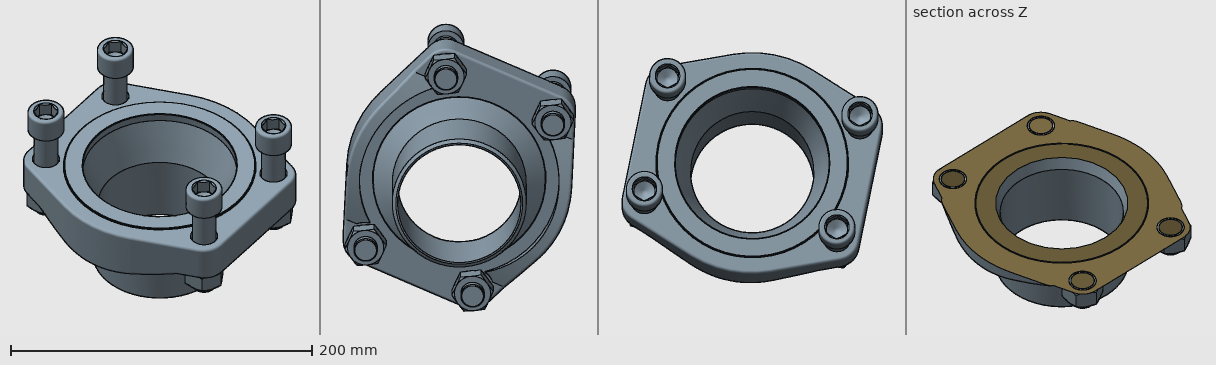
import cadquery as cq
import math


OVERALL_HEIGHT = 121.6
PIPE_HEIGHT = 46.2
PLATE_BOTTOM = 54.2
SHOULDER_HEIGHT = 67.2
PLATE_TOP = 79.4
ADAPTER_TOP = 80.2
LOBE_BOTTOM = 44.6

COLLAR_DIAMETER = 127.0
STEM_DIAMETER = 114.2
PIPE_DIAMETER = 89.0
BORE_DIAMETER = 81.8
MOUTH_DIAMETER = 102.0
MOUTH_DEPTH = 5.8
RIM_CHAMFER = 0.5
PIPE_CHAMFER_WIDTH = 2.4
PIPE_CHAMFER_HEIGHT = 1.6

FLANGE_LENGTH = 160.0
FLANGE_WIDTH = 149.6
BOLT_X = 65.1
BOLT_Y = 38.9
BOLT_HOLE_DIAMETER = 18.0
FLANGE_EDGE_FILLET = 2.0
LOBE_HALF_CHORD = 56.0
LOBE_RELIEF_DIAMETER = 132.5
ADAPTER_CLEARANCE = 0.8
COLLAR_SEAT_DIAMETER = COLLAR_DIAMETER + ADAPTER_CLEARANCE
STEM_HOLE_DIAMETER = STEM_DIAMETER + ADAPTER_CLEARANCE

SCREW_DIAMETER = 15.7
SCREW_LENGTH = 70.0
SCREW_TIP_DIAMETER = 14.4
SCREW_TIP_HEIGHT = 1.0
HEAD_DIAMETER = 24.0
HEAD_HEIGHT = 16.0
HEAD_FILLET = 1.6
NECK_DIAMETER = 17.0
NECK_HEIGHT = 1.5
SOCKET_WIDTH = 14.0
SOCKET_DEPTH = 9.5
SOCKET_TURN = 39.0
SOCKET_POINT_ANGLE = 120.0

NUT_WIDTH = 24.0
NUT_HEIGHT = 12.6
NUT_CHAMFER_ANGLE = 30.0
NUT_SPOTFACE_DIAMETER = 27.8

ACROSS_CORNERS = 1 / math.cos(math.pi / 6)

BOLT_POSITIONS = [(sx * BOLT_X, sy * BOLT_Y) for sx in (-1, 1) for sy in (-1, 1)]


def cylinder(diameter, bottom, top):
    return cq.Workplane("XY").workplane(offset=bottom).circle(diameter / 2).extrude(top - bottom)


def hexagon(width, bottom, height):
    """Hexagonal prism of the given width across flats, with two corners on the X axis."""
    return cq.Workplane("XY").workplane(offset=bottom).polygon(6, width * ACROSS_CORNERS).extrude(height)


def revolved(half_profile):
    """Close and turn a (radius, height) outline, drawn on XZ, around the Z axis."""
    return half_profile.close().revolve(360, (0, 0, 0), (0, 1, 0))


def flange_outline(bottom):
    """Two end arcs and four corner arcs about the bolt centres, joined by tangent lines."""
    end_radius = FLANGE_WIDTH / 2
    corner_radius = FLANGE_LENGTH / 2 - BOLT_X
    bolt_distance = math.hypot(BOLT_X, BOLT_Y)
    tilt = math.atan2(BOLT_X, BOLT_Y) - math.acos((end_radius - corner_radius) / bolt_distance)
    side = math.pi / 2
    middle = (tilt + side) / 2

    def corner_point(angle, sx, sy):
        x = BOLT_X + corner_radius * math.sin(angle)
        y = BOLT_Y + corner_radius * math.cos(angle)
        return (sx * x, sy * y)

    end_x = end_radius * math.sin(tilt)
    end_y = end_radius * math.cos(tilt)
    return (
        cq.Workplane("XY")
        .workplane(offset=bottom)
        .moveTo(-end_x, end_y)
        .threePointArc((0, end_radius), (end_x, end_y))
        .lineTo(*corner_point(tilt, 1, 1))
        .threePointArc(corner_point(middle, 1, 1), corner_point(side, 1, 1))
        .lineTo(*corner_point(side, 1, -1))
        .threePointArc(corner_point(middle, 1, -1), corner_point(tilt, 1, -1))
        .lineTo(end_x, -end_y)
        .threePointArc((0, -end_radius), (-end_x, -end_y))
        .lineTo(*corner_point(tilt, -1, -1))
        .threePointArc(corner_point(middle, -1, -1), corner_point(side, -1, -1))
        .lineTo(*corner_point(side, -1, 1))
        .threePointArc(corner_point(middle, -1, 1), corner_point(tilt, -1, 1))
        .close()
    )


def make_plate():
    """Flat plate of the flange outline, rounded along its top and bottom edges."""
    plate = flange_outline(PLATE_BOTTOM).extrude(PLATE_TOP - PLATE_BOTTOM)
    return plate.faces("<Z or >Z").edges().fillet(FLANGE_EDGE_FILLET)


def make_lobes():
    """Block of the flange outline with an underside curved about Y, lowest along x = 0."""
    sag = PLATE_BOTTOM - LOBE_BOTTOM
    arch_radius = (LOBE_HALF_CHORD**2 + sag**2) / (2 * sag)
    arch_cylinder = (
        cq.Workplane("XZ")
        .center(0, LOBE_BOTTOM + arch_radius)
        .circle(arch_radius)
        .extrude(FLANGE_WIDTH, both=True)
    )
    block = flange_outline(LOBE_BOTTOM).extrude(PLATE_TOP - LOBE_BOTTOM)
    lobes = block.intersect(arch_cylinder)
    lobes = lobes.faces(">Z").edges().fillet(FLANGE_EDGE_FILLET)
    return lobes.faces("<Z").edges().fillet(FLANGE_EDGE_FILLET)


def make_flange():
    """Plate with a lobe hanging below each Y end, a stepped adapter seat and four bolt holes."""
    flange = make_plate().union(make_lobes())
    flange = flange.cut(cylinder(LOBE_RELIEF_DIAMETER, LOBE_BOTTOM, PLATE_BOTTOM))
    flange = flange.cut(cylinder(STEM_HOLE_DIAMETER, LOBE_BOTTOM, PLATE_TOP))
    flange = flange.cut(cylinder(COLLAR_SEAT_DIAMETER, SHOULDER_HEIGHT, PLATE_TOP))
    for x, y in BOLT_POSITIONS:
        bolt_hole = cylinder(BOLT_HOLE_DIAMETER, LOBE_BOTTOM, PLATE_TOP)
        nut_spotface = cylinder(NUT_SPOTFACE_DIAMETER, LOBE_BOTTOM, PLATE_BOTTOM)
        flange = flange.cut(bolt_hole.union(nut_spotface).translate((x, y, 0)))
    return flange


def make_adapter():
    """Hollow turned body: collar and stem inside the flange, tapering to a pipe below it."""
    pipe_radius = PIPE_DIAMETER / 2
    bore_radius = BORE_DIAMETER / 2
    collar_radius = COLLAR_DIAMETER / 2
    mouth_radius = MOUTH_DIAMETER / 2
    return revolved(
        cq.Workplane("XZ")
        .moveTo(bore_radius, 0)
        .lineTo(pipe_radius - PIPE_CHAMFER_WIDTH, 0)
        .lineTo(pipe_radius, PIPE_CHAMFER_HEIGHT)
        .lineTo(pipe_radius, PIPE_HEIGHT)
        .lineTo(STEM_DIAMETER / 2, PLATE_BOTTOM)
        .lineTo(STEM_DIAMETER / 2, SHOULDER_HEIGHT)
        .lineTo(collar_radius, SHOULDER_HEIGHT)
        .lineTo(collar_radius, ADAPTER_TOP - RIM_CHAMFER)
        .lineTo(collar_radius - RIM_CHAMFER, ADAPTER_TOP)
        .lineTo(mouth_radius + RIM_CHAMFER, ADAPTER_TOP)
        .lineTo(mouth_radius, ADAPTER_TOP - RIM_CHAMFER)
        .lineTo(mouth_radius, ADAPTER_TOP - MOUTH_DEPTH)
        .lineTo(bore_radius, PIPE_HEIGHT)
    )


def make_socket(floor):
    """Hexagonal recess with a countersunk rim and a drilled conical floor."""
    recess = hexagon(SOCKET_WIDTH, floor, SOCKET_DEPTH).rotate((0, 0, 0), (0, 0, 1), SOCKET_TURN)
    rim_radius = SOCKET_WIDTH * ACROSS_CORNERS / 2
    rim_cone = revolved(
        cq.Workplane("XZ")
        .moveTo(0, OVERALL_HEIGHT)
        .lineTo(rim_radius, OVERALL_HEIGHT)
        .lineTo(0, OVERALL_HEIGHT - rim_radius)
    )
    drill_radius = SOCKET_WIDTH / 2
    drill_depth = drill_radius / math.tan(math.radians(SOCKET_POINT_ANGLE / 2))
    drill_point = revolved(
        cq.Workplane("XZ").moveTo(0, floor).lineTo(drill_radius, floor).lineTo(0, floor - drill_depth)
    )
    return recess.union(rim_cone).union(drill_point)


def make_screw():
    """Socket-head screw with a flared neck under the head and a chamfered tip."""
    head_bottom = OVERALL_HEIGHT - HEAD_HEIGHT
    tip = head_bottom - SCREW_LENGTH
    socket_floor = OVERALL_HEIGHT - SOCKET_DEPTH
    radius = SCREW_DIAMETER / 2
    screw = revolved(
        cq.Workplane("XZ")
        .moveTo(0, tip)
        .lineTo(SCREW_TIP_DIAMETER / 2, tip)
        .lineTo(radius, tip + SCREW_TIP_HEIGHT)
        .lineTo(radius, head_bottom - NECK_HEIGHT)
        .lineTo(NECK_DIAMETER / 2, head_bottom)
        .lineTo(HEAD_DIAMETER / 2, head_bottom)
        .lineTo(HEAD_DIAMETER / 2, OVERALL_HEIGHT)
        .lineTo(0, OVERALL_HEIGHT)
    )
    screw = screw.faces(">Z").edges().fillet(HEAD_FILLET)
    return screw.cut(make_socket(socket_floor))


def make_nut():
    """Hexagon nut with both faces chamfered, bored to the screw diameter."""
    bottom = PLATE_BOTTOM - NUT_HEIGHT
    corner_diameter = NUT_WIDTH * ACROSS_CORNERS
    chamfer_width = (corner_diameter - NUT_WIDTH) / 2
    chamfer_height = chamfer_width * math.tan(math.radians(NUT_CHAMFER_ANGLE))
    turned = cylinder(corner_diameter, bottom, PLATE_BOTTOM).edges().chamfer(chamfer_height, chamfer_width)
    nut = hexagon(NUT_WIDTH, bottom, NUT_HEIGHT).intersect(turned)
    return nut.cut(cylinder(SCREW_DIAMETER, bottom, PLATE_BOTTOM))


flange = make_flange()
adapter = make_adapter()
screws = [make_screw().translate((x, y, 0)) for x, y in BOLT_POSITIONS]
nuts = [make_nut().translate((x, y, 0)) for x, y in BOLT_POSITIONS]

result = cq.Compound.makeCompound(
    [flange.val(), adapter.val()] + [screw.val() for screw in screws] + [nut.val() for nut in nuts]
)